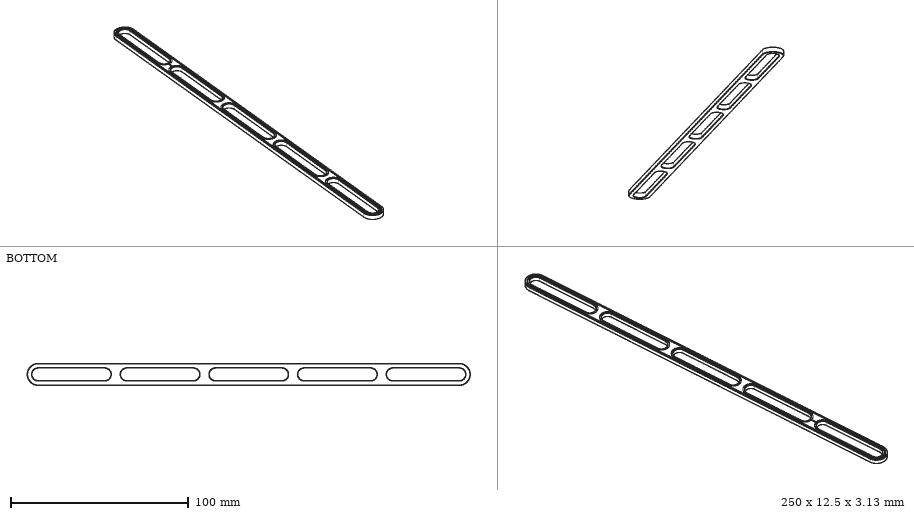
import cadquery as cq

length = 250.0
width = 12.5
thickness = width / 4

rail_width = 2.75
window_width = width - 2 * rail_width
web_pitch = length / 5
web_count = 4
web_neck = 2 * rail_width

bevel = 0.3

rim_width = 1.1
recess_depth = 0.2

bridge_width = 0.5

first_web = -web_pitch * (web_count - 1) / 2
web_positions = [first_web + i * web_pitch for i in range(web_count)]


def rounded_bar(start, end, bar_width, height):
    """Bar with semicircular ends, spanning start to end along X, standing on Z = 0."""
    return (
        cq.Workplane("XY")
        .center((start + end) / 2, 0)
        .slot2D(end - start, bar_width)
        .extrude(height)
    )


def window_spans():
    """X ranges of the windows, from the left end of the frame to the right."""
    starts = [-length / 2 + rail_width] + [x + web_neck / 2 for x in web_positions]
    ends = [x - web_neck / 2 for x in web_positions] + [length / 2 - rail_width]
    return list(zip(starts, ends))


def windows(margin, height):
    """All windows as one body, each grown outward by margin."""
    grown_width = window_width + 2 * margin
    bodies = cq.Workplane("XY")
    for start, end in window_spans():
        bodies = bodies.add(rounded_bar(start - margin, end + margin, grown_width, height))
    return bodies.combine()


def make_frame():
    """Round-ended frame with its windows cut through and its rims bevelled."""
    outline = rounded_bar(-length / 2, length / 2, width, thickness)
    frame = outline.cut(windows(0, thickness))
    return frame.faces("<Z or >Z").edges().chamfer(bevel)


def make_recess():
    """Volume removed from the top: a strip along the rails and across the webs."""
    outer_end = length / 2 - rim_width
    recess = rounded_bar(-outer_end, outer_end, width - 2 * rim_width, recess_depth)
    recess = recess.cut(windows(rim_width, recess_depth))
    bridge = (
        cq.Workplane("XY")
        .center(first_web, 0)
        .rect(web_neck, bridge_width)
        .extrude(recess_depth)
    )
    return recess.cut(bridge).translate((0, 0, thickness - recess_depth))


result = make_frame().cut(make_recess())